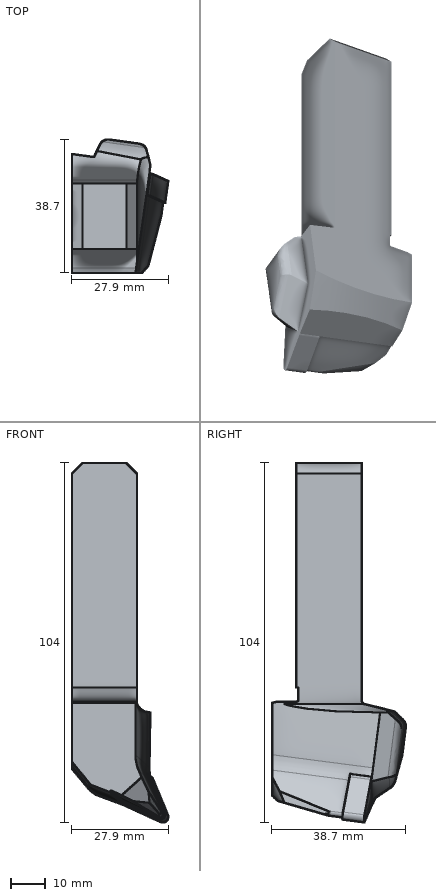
import cadquery as cq
import math

TOTAL_HEIGHT = 104.05
SHANK_WIDTH = 18.9
SHANK_DEPTH = 19.05
SHANK_FRONT_Y = 6.95
SHANK_BACK_Y = SHANK_FRONT_Y + SHANK_DEPTH
SHANK_CHAMFER = 3.1
SHANK_ROOT_Z = 29.5
RELIEF_TOP_Z = 39.0
RELIEF_DEPTH = 0.6

SHOULDER_Z = 35.0
FRONT_BEVEL_Y = 1.5
FRONT_BEVEL_Z = 0.35
FRONT_ROOT_RADIUS = 0.5
BACK_ROOT_RADIUS = 0.9
BACK_SHOULDER_Z = 34.5
BACK_SHOULDER_ANGLE = 14.0
HEAD_REACH = 45.0

RAKE_SLOPE_X = 0.14
RAKE_SLOPE_Z = 0.13
NOSE = (27.91, 26.4, 0.0)

RIGHT_FACE_U = -5.75
SEAT_INSET = 0.6
BODY_LEFT = (-24.0, 9.1)
HEAD_TOP_V = 40.0
FLANK_RADIUS = 84.0
FLANK_CENTER_Y = 18.0
FLANK_LOW_Z = 15.6
FLANK_SLOPE = 1.2

SIDE_CUT_START = 0.7
SIDE_CUT_DEPTH = 3.1
SIDE_CUT_WIDTH = 3.6
SIDE_CUT_RADIUS = 3.8

FACET_START = (14.4, 7.85)
FACET_ANGLE = 42.0
FACET_SLOPE = 0.5
LOWER_RELIEF_Z = 6.7
LOWER_RELIEF_SLOPE = 0.29
SIDE_RELIEF_X = 21.6
SIDE_RELIEF_SLOPE = 0.26
RIGHT_BLEND_RADIUS = 11.0

PAD_HEIGHT = 6.3
PAD_ROUND = 3.0
PAD_FOOT = [(-22.3, 16.5), (-22.3, 34.0), (RIGHT_FACE_U, 34.0), (RIGHT_FACE_U, 12.0), (-12.0, 6.5)]
PAD_INSETS = [1.9, 4.5, 2.5, 3.5, 4.5]

INSERT_THICKNESS = 6.35
INSERT_EDGE = 16.0
INSERT_ANGLE = 42.0
BISECTOR_ANGLE = 134.5
NOSE_RADIUS = 1.6

rake = cq.Plane(
    origin=NOSE,
    xDir=(1, -RAKE_SLOPE_X, 0),
    normal=(-RAKE_SLOPE_X, -1, RAKE_SLOPE_Z),
)

RAKE_AXIS = f"({RAKE_SLOPE_X}, 1, {-RAKE_SLOPE_Z})"
RAKE_OUTWARD = ">" + RAKE_AXIS
RAKE_PARALLEL = "|" + RAKE_AXIS

HALF_ANGLE = INSERT_ANGLE / 2
BISECTOR_DIR = math.radians(BISECTOR_ANGLE)
SIDE_EDGE_DIR = math.radians(BISECTOR_ANGLE - HALF_ANGLE)
LOWER_EDGE_DIR = math.radians(BISECTOR_ANGLE + HALF_ANGLE)
APEX_OFFSET = NOSE_RADIUS / math.sin(math.radians(HALF_ANGLE))


def along(start, direction, distance):
    """Point at a distance from start in the rake plane."""
    return (
        start[0] + distance * math.cos(direction),
        start[1] + distance * math.sin(direction),
    )


APEX = along((-NOSE_RADIUS, NOSE_RADIUS), BISECTOR_DIR, -APEX_OFFSET)


def make_insert():
    """Rhombic plate whose back face is the rake plane."""
    side_corner = along(APEX, SIDE_EDGE_DIR, INSERT_EDGE)
    lower_corner = along(APEX, LOWER_EDGE_DIR, INSERT_EDGE)
    far_corner = along(side_corner, LOWER_EDGE_DIR, INSERT_EDGE)
    outline = [APEX, side_corner, far_corner, lower_corner]
    plate = cq.Workplane(rake).polyline(outline).close().extrude(INSERT_THICKNESS)
    return plate.edges(RAKE_PARALLEL).fillet(NOSE_RADIUS)


def make_shank():
    shank = (
        cq.Workplane("XY", origin=(0, SHANK_FRONT_Y, SHANK_ROOT_Z))
        .box(SHANK_WIDTH, SHANK_DEPTH, TOTAL_HEIGHT - SHANK_ROOT_Z, centered=False)
        .edges("|Y and >Z")
        .chamfer(SHANK_CHAMFER)
    )
    relief = cq.Workplane("XY").box(
        SHANK_WIDTH, SHANK_FRONT_Y + RELIEF_DEPTH, RELIEF_TOP_Z, centered=False
    )
    return shank.cut(relief)


def make_envelope():
    """Side profile of the head, running along X."""
    fall = math.tan(math.radians(BACK_SHOULDER_ANGLE))
    end_z = BACK_SHOULDER_Z - (HEAD_REACH - SHANK_BACK_Y) * fall
    neck_front_y = SHANK_FRONT_Y + RELIEF_DEPTH
    root_y = SHANK_BACK_Y + BACK_ROOT_RADIUS
    root_z = BACK_SHOULDER_Z - BACK_ROOT_RADIUS * fall
    blend = math.radians(45)
    mid_y = root_y - BACK_ROOT_RADIUS * math.cos(blend)
    mid_z = root_z + BACK_ROOT_RADIUS * (1 - math.sin(blend))
    profile = (
        cq.Workplane("YZ")
        .moveTo(0, -HEAD_REACH)
        .lineTo(0, SHOULDER_Z - FRONT_BEVEL_Z)
        .lineTo(FRONT_BEVEL_Y, SHOULDER_Z)
        .lineTo(neck_front_y - FRONT_ROOT_RADIUS, SHOULDER_Z)
        .radiusArc((neck_front_y, SHOULDER_Z + FRONT_ROOT_RADIUS), -FRONT_ROOT_RADIUS)
        .lineTo(SHANK_BACK_Y, SHOULDER_Z + FRONT_ROOT_RADIUS)
        .lineTo(SHANK_BACK_Y, root_z + BACK_ROOT_RADIUS)
        .threePointArc((mid_y, mid_z), (root_y, root_z))
        .lineTo(HEAD_REACH, end_z)
        .lineTo(HEAD_REACH, -HEAD_REACH)
        .close()
    )
    return profile.extrude(HEAD_REACH)


def make_flank():
    """Cone about a line along X that rounds the lower left side of the head."""
    center_z = FLANK_LOW_Z + FLANK_RADIUS
    return (
        cq.Workplane("XY", origin=(0, FLANK_CENTER_Y, center_z))
        .polyline([
            (0, 0),
            (0, FLANK_RADIUS),
            (HEAD_REACH, FLANK_RADIUS + FLANK_SLOPE * HEAD_REACH),
            (HEAD_REACH, 0),
        ])
        .close()
        .revolve(360, (0, 0, 0), (1, 0, 0))
    )


def make_head_prism():
    """Outline of the head in the rake plane, run square to that plane."""
    seat_apex_shift = SEAT_INSET / math.sin(math.radians(HALF_ANGLE))
    seat_apex = along(APEX, BISECTOR_DIR, seat_apex_shift)
    to_right_face = (RIGHT_FACE_U - seat_apex[0]) / math.cos(SIDE_EDGE_DIR)
    right_corner = along(seat_apex, SIDE_EDGE_DIR, to_right_face)
    outline = [
        seat_apex,
        right_corner,
        (RIGHT_FACE_U, HEAD_TOP_V),
        (-HEAD_REACH, HEAD_TOP_V),
        (-HEAD_REACH, BODY_LEFT[1]),
        BODY_LEFT,
        along(APEX, LOWER_EDGE_DIR, INSERT_EDGE),
        along(seat_apex, LOWER_EDGE_DIR, INSERT_EDGE - seat_apex_shift),
    ]
    prism = cq.Workplane(rake).polyline(outline).close().extrude(HEAD_REACH)
    corner_point = rake.toWorldCoords((*right_corner, HEAD_REACH / 2)).toTuple()
    corner_edge = cq.selectors.NearestToPointSelector(corner_point)
    seat_point = rake.toWorldCoords((*seat_apex, HEAD_REACH / 2)).toTuple()
    seat_edge = cq.selectors.NearestToPointSelector(seat_point)
    prism = prism.edges(corner_edge).fillet(RIGHT_BLEND_RADIUS)
    return prism.edges(seat_edge).fillet(NOSE_RADIUS - SEAT_INSET)


def inset_outline(points, insets):
    """Clockwise outline with each side moved inward by its own distance."""
    count = len(points)
    directions = []
    for i in range(count):
        du = points[(i + 1) % count][0] - points[i][0]
        dv = points[(i + 1) % count][1] - points[i][1]
        length = math.hypot(du, dv)
        directions.append((du / length, dv / length))
    moved = []
    for i in range(count):
        before = directions[i - 1]
        after = directions[i]
        turn = before[0] * after[1] - before[1] * after[0]
        moved.append((
            points[i][0] + (before[0] * insets[i] - after[0] * insets[i - 1]) / turn,
            points[i][1] + (before[1] * insets[i] - after[1] * insets[i - 1]) / turn,
        ))
    return moved


def make_pad():
    """Pad on the back of the head, narrowing to a rounded outer face."""
    pad = (
        cq.Workplane(rake)
        .polyline(PAD_FOOT)
        .close()
        .workplane(offset=-PAD_HEIGHT)
        .polyline(inset_outline(PAD_FOOT, PAD_INSETS))
        .close()
        .loft(ruled=True)
    )
    return pad.faces(RAKE_OUTWARD).edges().fillet(PAD_ROUND)


def make_nose_facet():
    """Wedge removed across the front of the nose, square to its bisector."""
    bisector = math.radians(FACET_ANGLE - 90)
    edge = math.radians(FACET_ANGLE)
    plane = cq.Plane(
        origin=(FACET_START[0], 0, FACET_START[1]),
        xDir=(math.cos(bisector), 0, math.sin(bisector)),
        normal=(math.cos(edge), 0, math.sin(edge)),
    )
    outline = [(0, 0), (HEAD_REACH, FACET_SLOPE * HEAD_REACH), (HEAD_REACH, 0)]
    return cq.Workplane(plane).polyline(outline).close().extrude(HEAD_REACH, both=True)


def make_lower_relief():
    """Wedge removed below the nose, running along X."""
    end_z = LOWER_RELIEF_Z - LOWER_RELIEF_SLOPE * HEAD_REACH
    outline = [(0, LOWER_RELIEF_Z), (HEAD_REACH, end_z), (0, end_z)]
    return cq.Workplane("YZ").polyline(outline).close().extrude(HEAD_REACH)


def make_side_relief():
    """Wedge removed beside the nose, running along Z."""
    end_x = SIDE_RELIEF_X + SIDE_RELIEF_SLOPE * HEAD_REACH
    outline = [(SIDE_RELIEF_X, 0), (end_x, HEAD_REACH), (end_x, 0)]
    return cq.Workplane("XY").polyline(outline).close().extrude(HEAD_REACH)


def make_side_cut():
    """Concave bevel along the top right edge of the head."""
    low = (SHANK_WIDTH + SIDE_CUT_WIDTH, SHOULDER_Z - SIDE_CUT_DEPTH)
    return (
        cq.Workplane("XZ")
        .moveTo(SHANK_WIDTH, HEAD_REACH)
        .lineTo(SHANK_WIDTH, SHOULDER_Z - SIDE_CUT_START)
        .radiusArc(low, -SIDE_CUT_RADIUS)
        .lineTo(HEAD_REACH, low[1])
        .lineTo(HEAD_REACH, HEAD_REACH)
        .close()
        .extrude(-HEAD_REACH)
    )


insert = make_insert()
head = (
    make_head_prism()
    .union(make_pad())
    .intersect(make_envelope())
    .intersect(make_flank())
    .cut(make_nose_facet())
    .cut(make_lower_relief())
    .cut(make_side_relief())
    .cut(make_side_cut())
)
holder = make_shank().union(head).cut(insert)
result = cq.Compound.makeCompound([*holder.vals(), insert.val()])